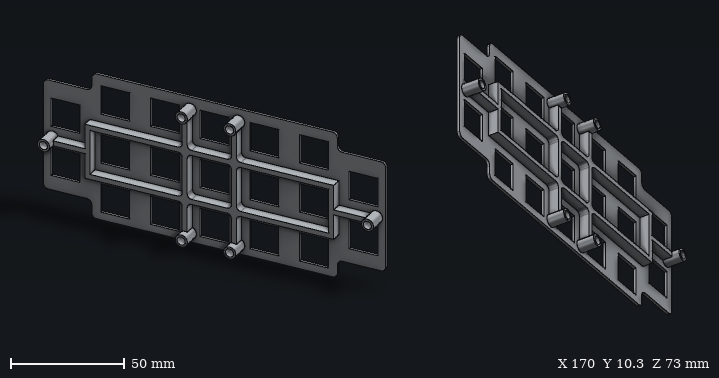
import cadquery as cq

plate_length = 170.0
plate_height = 73.0
body_length = 122.0
wing_height = 55.0
corner_radius = 2.5
plate_thickness = 1.5

key_pitch = 24.65
key_size = 14.2
grid_z = -0.75
body_columns = (-2, -1, 0, 1, 2)
body_rows = (-1, 0, 1)
wing_columns = (-3, 3)
wing_rows = (-0.5, 0.5)

rib_width = 2.5
rib_depth = 5.0
crossing_radius = 2.25
rib_x = 12.2
rib_z = key_pitch / 2
frame_x = 60.5

total_depth = 10.3
post_length = total_depth - plate_thickness
post_diameter = 6.1
post_bore = 4.0
end_post_x = 80.4
mid_post_x = 12.0
edge_post_z = 31.0
post_points = [(side * end_post_x, grid_z) for side in (-1, 1)]
post_points += [(x, grid_z + z) for x in (-mid_post_x, mid_post_x) for z in (-edge_post_z, edge_post_z)]


def front_face():
    """Front face of the plate: local x is +X, local y is +Z, extrusion goes to -Y."""
    return cq.Workplane("XZ")


def bar(x_min, x_max, z_min, z_max):
    """Rectangular rib standing on the front face, placed relative to the key grid."""
    return (
        front_face()
        .center((x_min + x_max) / 2, grid_z + (z_min + z_max) / 2)
        .rect(x_max - x_min, z_max - z_min)
        .extrude(rib_depth)
    )


def make_plate():
    body = front_face().rect(body_length, plate_height).extrude(-plate_thickness)
    wings = front_face().rect(plate_length, wing_height).extrude(-plate_thickness)
    return body.union(wings).edges("|Y").fillet(corner_radius)


def make_key_openings():
    cells = [(column, row) for column in body_columns for row in body_rows]
    cells += [(column, row) for column in wing_columns for row in wing_rows]
    centres = [(column * key_pitch, grid_z + row * key_pitch) for column, row in cells]
    return front_face().pushPoints(centres).rect(key_size, key_size).extrude(-plate_thickness)


def make_ribs():
    half = rib_width / 2
    frame_outer_x = frame_x + half
    ribs = bar(-end_post_x, -frame_x, -half, half)
    ribs = ribs.union(bar(frame_x, end_post_x, -half, half))
    for side in (-1, 1):
        ribs = ribs.union(bar(-frame_outer_x, frame_outer_x, side * rib_z - half, side * rib_z + half))
        ribs = ribs.union(bar(side * frame_x - half, side * frame_x + half, -rib_z - half, rib_z + half))
        ribs = ribs.union(bar(side * rib_x - half, side * rib_x + half, -edge_post_z, edge_post_z))
    reach = rib_width
    for x in (-rib_x, rib_x):
        for z in (-rib_z, rib_z):
            crossing = cq.selectors.BoxSelector(
                (x - reach, -rib_depth, grid_z + z - reach),
                (x + reach, 0, grid_z + z + reach),
            )
            ribs = ribs.edges("|Y").edges(crossing).fillet(crossing_radius)
    return ribs


def make_posts():
    return front_face().pushPoints(post_points).circle(post_diameter / 2).extrude(post_length)


def make_bores():
    bores = front_face().workplane(offset=-plate_thickness).pushPoints(post_points)
    return bores.circle(post_bore / 2).extrude(total_depth)


plate = make_plate().cut(make_key_openings())
result = plate.union(make_ribs()).union(make_posts()).cut(make_bores())